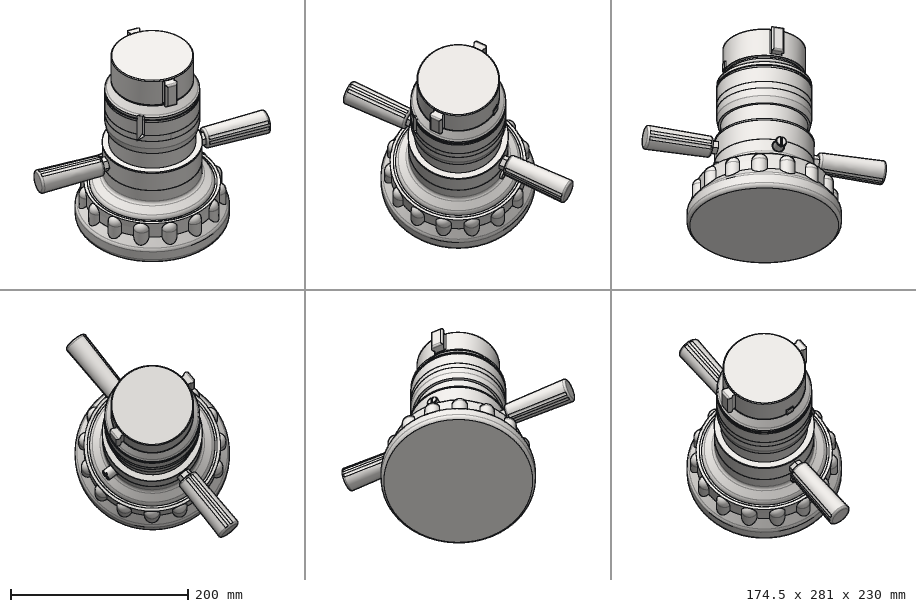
import cadquery as cq
import math

total_length = 281.0
total_height = 230.0

base_diameter = 174.5
base_radius = base_diameter / 2
base_band_radius = 77.0
base_bottom_radius = 84.0
base_bottom_round_top = 5.3
base_corner_bulge = 0.8
base_wall_top = 16.5
base_shoulder_radius = 85.2
base_shoulder_top = 20.2
base_shoulder_bulge = 0.3
base_band_bottom = 29.8
base_band_top = 49.2
lug_count = 15
lug_radius = 9.3
lug_circle_radius = 74.2
lug_first_angle = -80.6
gap_inner_radius = 70.8
gap_outer_radius = 73.5
gap_depth = 0.3

flange_edge_bulge = 0.5
flange_cone_bottom = 54.2
flange_cone_radius = 67.7
flange_cone_top = 60.5
flange_fillet_radius = 59.0
collar_lower_diameter = 112.2
collar_lower_radius = collar_lower_diameter / 2
collar_lower_bottom = 65.0
collar_fillet_bulge = 0.7
collar_diameter = 112.7
collar_radius = collar_diameter / 2
collar_upper_bottom = 80.0
collar_top = 106.8
collar_lip_bottom = 104.8
collar_lip_diameter = 113.3
collar_lip_radius = collar_lip_diameter / 2

neck_diameter = 98.7
neck_radius = neck_diameter / 2
barrel_diameter = 107.7
barrel_radius = barrel_diameter / 2
barrel_bottom_radius = 52.0
barrel_bottom = 129.9
barrel_taper_top = 138.3
barrel_step_lower = 148.5
barrel_step_upper = 156.8
barrel_step = 0.15
barrel_ring_bottom = 175.7
ring_groove_height = 178.2
ring_groove_width = 0.8
ring_groove_depth = 0.5
barrel_top = 182.7
barrel_cone_bottom = 184.7
barrel_cone_bottom_radius = 51.7
barrel_cone_top = 192.3
throat_radius = 44.7
throat_top = 194.0
cap_diameter = 93.5
cap_radius = cap_diameter / 2
cap_bottom = 195.0
cap_bottom_radius = 46.0
cap_edge_chamfer = 1.0

ear_reach = collar_radius
ear_bottom = 197.3
ear_top = 228.0
ear_rounding = 2.2
ear_face_width = 10.5
ear_bulge_width = 14.5
ear_bulge_reach = 53.7
ear_bend_width = 13.0
ear_bend_reach = 50.3
ear_waist_width = 11.5
ear_waist_reach = 48.5
ear_root_width = 15.0
ear_root_reach = 46.0
stop_width = 9.3
stop_reach = 48.0
stop_bottom = 195.5
stop_top = 204.3

key_left = 40.0
key_right = 45.3
key_floor_y = -29.2
key_outer_y = -39.4
key_top = 183.3
key_ramp_start = 155.5
key_ramp_end = 143.4

pin_diameter = 12.6
pin_recess_diameter = 14.3
pin_recess_depth = 1.5
pin_reach = 67.5
pin_height = 72.5
pin_chamfer = 0.8
pin_slot_width = 2.0
pin_slot_depth = 2.2
stub_diameter = 11.8
stub_reach = 58.7
stub_height = 66.5

handle_height = 92.0
handle_start = 63.0
handle_end = total_length / 2
handle_inner_radius = 12.0
handle_outer_radius = 13.8
handle_rounding = 2.5
shank_hex_flats = 14.3
flute_radius = 4.5
flute_depth = 0.5
flute_half_spacing = 15.0
front_handle_flutes = 97.0
rear_handle_flutes = 18.0
front_shank_turn = 0.0
rear_shank_turn = 30.0


def rear_stub():
    """Short round stub on the +Y side of the collar."""
    plane = cq.Plane(origin=(0, 0, stub_height), xDir=(1, 0, 0), normal=(0, 1, 0))
    return cq.Workplane(plane).circle(stub_diameter / 2).extrude(stub_reach)


def ring(outer, inner, bottom, height):
    """Flat ring around the main axis."""
    return cq.Workplane("XY").workplane(offset=bottom).circle(outer).circle(inner).extrude(height)


def body():
    """Turned body from the base up to the cap."""
    step_radius = barrel_radius - barrel_step
    outline = (
        cq.Workplane("XZ")
        .moveTo(0, 0)
        .lineTo(base_bottom_radius, 0)
        .sagittaArc((base_radius, base_bottom_round_top), -base_corner_bulge)
        .lineTo(base_radius, base_wall_top)
        .sagittaArc((base_shoulder_radius, base_shoulder_top), -base_shoulder_bulge)
        .lineTo(base_band_radius, base_band_bottom)
        .lineTo(base_band_radius, base_band_top)
        .lineTo(gap_inner_radius, base_band_top)
        .sagittaArc((flange_cone_radius, flange_cone_bottom), -flange_edge_bulge)
        .lineTo(flange_fillet_radius, flange_cone_top)
        .sagittaArc((collar_lower_radius, collar_lower_bottom), collar_fillet_bulge)
        .lineTo(collar_lower_radius, collar_upper_bottom)
        .lineTo(collar_radius, collar_upper_bottom)
        .lineTo(collar_radius, collar_lip_bottom)
        .lineTo(collar_lip_radius, collar_lip_bottom)
        .lineTo(collar_lip_radius, collar_top)
        .lineTo(neck_radius, collar_top)
        .lineTo(neck_radius, barrel_bottom)
        .lineTo(barrel_bottom_radius, barrel_bottom)
        .lineTo(barrel_radius, barrel_taper_top)
        .lineTo(barrel_radius, barrel_step_lower)
        .lineTo(step_radius, barrel_step_lower)
        .lineTo(step_radius, barrel_step_upper)
        .lineTo(barrel_radius, barrel_step_upper)
        .lineTo(barrel_radius, barrel_ring_bottom)
        .lineTo(step_radius, barrel_ring_bottom)
        .lineTo(step_radius, barrel_top)
        .lineTo(barrel_cone_bottom_radius, barrel_cone_bottom)
        .lineTo(throat_radius, barrel_cone_top)
        .lineTo(throat_radius, throat_top)
        .lineTo(cap_bottom_radius, cap_bottom)
        .lineTo(cap_radius, cap_bottom)
        .lineTo(cap_radius, total_height - cap_edge_chamfer)
        .lineTo(cap_radius - cap_edge_chamfer, total_height)
        .lineTo(0, total_height)
        .close()
    )
    turned = outline.revolve(360, (0, 0, 0), (0, 1, 0))
    groove_floor = step_radius - ring_groove_depth
    groove = ring(barrel_radius, groove_floor, ring_groove_height, ring_groove_width)
    gap = ring(gap_outer_radius, gap_inner_radius, base_band_top - gap_depth, gap_depth)
    return turned.cut(groove).cut(gap)


def grip_lugs():
    """Upright round-topped lugs spaced evenly around the base."""
    dome_centre = base_band_top - lug_radius
    lugs = cq.Workplane("XY")
    for index in range(lug_count):
        angle = math.radians(lug_first_angle + index * 360 / lug_count)
        x = lug_circle_radius * math.cos(angle)
        y = lug_circle_radius * math.sin(angle)
        post = cq.Workplane("XY").workplane(offset=base_wall_top).center(x, y)
        post = post.circle(lug_radius).extrude(dome_centre - base_wall_top)
        dome = cq.Workplane("XY").sphere(lug_radius).translate((x, y, dome_centre))
        lugs = lugs.add(post.union(dome))
    return lugs


def ear(turn):
    """Cap ear turned about the main axis: a bulging head on a waisted root."""
    half_face = ear_face_width / 2
    half_bulge = ear_bulge_width / 2
    half_bend = ear_bend_width / 2
    half_waist = ear_waist_width / 2
    half_root = ear_root_width / 2
    outline = (
        cq.Workplane("XY")
        .workplane(offset=ear_bottom)
        .moveTo(0, -half_root)
        .lineTo(ear_root_reach, -half_root)
        .threePointArc((ear_waist_reach, -half_waist), (ear_bend_reach, -half_bend))
        .threePointArc((ear_bulge_reach, -half_bulge), (ear_reach, -half_face))
        .lineTo(ear_reach, half_face)
        .threePointArc((ear_bulge_reach, half_bulge), (ear_bend_reach, half_bend))
        .threePointArc((ear_waist_reach, half_waist), (ear_root_reach, half_root))
        .lineTo(0, half_root)
        .close()
    )
    solid = outline.extrude(ear_top - ear_bottom)
    solid = solid.faces(">X").edges("|Y").fillet(ear_rounding)
    return solid.rotate((0, 0, 0), (0, 0, 1), turn)


def cap_stop():
    """Small block low on the +Y side of the cap."""
    block = cq.Workplane("XY").workplane(offset=stop_bottom).center(0, stop_reach / 2)
    return block.rect(stop_width, stop_reach).extrude(stop_top - stop_bottom)


def key_groove():
    """Flat-floored groove down the barrel, ending in a ramp."""
    outline = [
        (key_outer_y, key_top),
        (key_floor_y, key_top),
        (key_floor_y, key_ramp_start),
        (key_outer_y, key_ramp_end),
    ]
    cutter = cq.Workplane("YZ").workplane(offset=key_left)
    return cutter.polyline(outline).close().extrude(key_right - key_left)


def add_slotted_pin(part):
    """Pin on the -X side with a driver slot, set in a shallow recess."""
    recess_floor = collar_lower_radius - pin_recess_depth
    axis = cq.Workplane("YZ").center(0, pin_height)
    recess = axis.workplane(offset=-pin_reach).circle(pin_recess_diameter / 2)
    recess = recess.extrude(pin_reach - recess_floor)
    pin = axis.workplane(offset=-pin_reach).circle(pin_diameter / 2).extrude(pin_reach)
    pin = pin.faces("<X").chamfer(pin_chamfer)
    slot = axis.workplane(offset=-pin_reach).rect(pin_slot_width, pin_recess_diameter)
    slot = slot.extrude(pin_slot_depth)
    return part.cut(recess).union(pin.cut(slot))


def handle(flute_angle, shank_turn):
    """Tapered handle along +Y on a hexagonal shank, with two opposite pairs of shallow flutes."""
    grip = (
        cq.Workplane("XY")
        .moveTo(0, handle_start)
        .lineTo(handle_inner_radius, handle_start)
        .lineTo(handle_outer_radius, handle_end)
        .lineTo(0, handle_end)
        .close()
        .revolve(360, (0, 0, 0), (0, 1, 0))
        .edges()
        .fillet(handle_rounding)
    )
    length = handle_end - handle_start
    taper = math.atan2(handle_outer_radius - handle_inner_radius, length)
    flute_length = length - 2 * handle_rounding
    flute_start = handle_start + handle_rounding
    flute_start_radius = handle_inner_radius + handle_rounding * math.tan(taper)
    flute_axis_start = flute_start_radius + flute_radius - flute_depth
    plane = cq.Plane(
        origin=(flute_axis_start, flute_start, 0),
        xDir=(0, 0, 1),
        normal=(math.sin(taper), math.cos(taper), 0),
    )
    flute = cq.Workplane(plane).circle(flute_radius).extrude(flute_length)
    for group_angle in (flute_angle, flute_angle + 180):
        for offset in (-flute_half_spacing, flute_half_spacing):
            grip = grip.cut(flute.rotate((0, 0, 0), (0, -1, 0), group_angle + offset))
    shank_plane = cq.Plane(origin=(0, 0, 0), xDir=(1, 0, 0), normal=(0, 1, 0))
    hex_corners = shank_hex_flats / math.cos(math.pi / 6)
    shank = cq.Workplane(shank_plane).polygon(6, hex_corners).extrude(handle_start)
    shank = shank.rotate((0, 0, 0), (0, 1, 0), shank_turn)
    return grip.union(shank).translate((0, 0, handle_height))


result = body().union(grip_lugs())
result = result.union(ear(0)).union(ear(180)).union(cap_stop())
result = result.cut(key_groove())
result = add_slotted_pin(result)
result = result.union(rear_stub())
result = result.union(handle(rear_handle_flutes, rear_shank_turn))
front_handle = handle(front_handle_flutes, front_shank_turn).rotate((0, 0, 0), (0, 0, 1), 180)
result = result.union(front_handle)